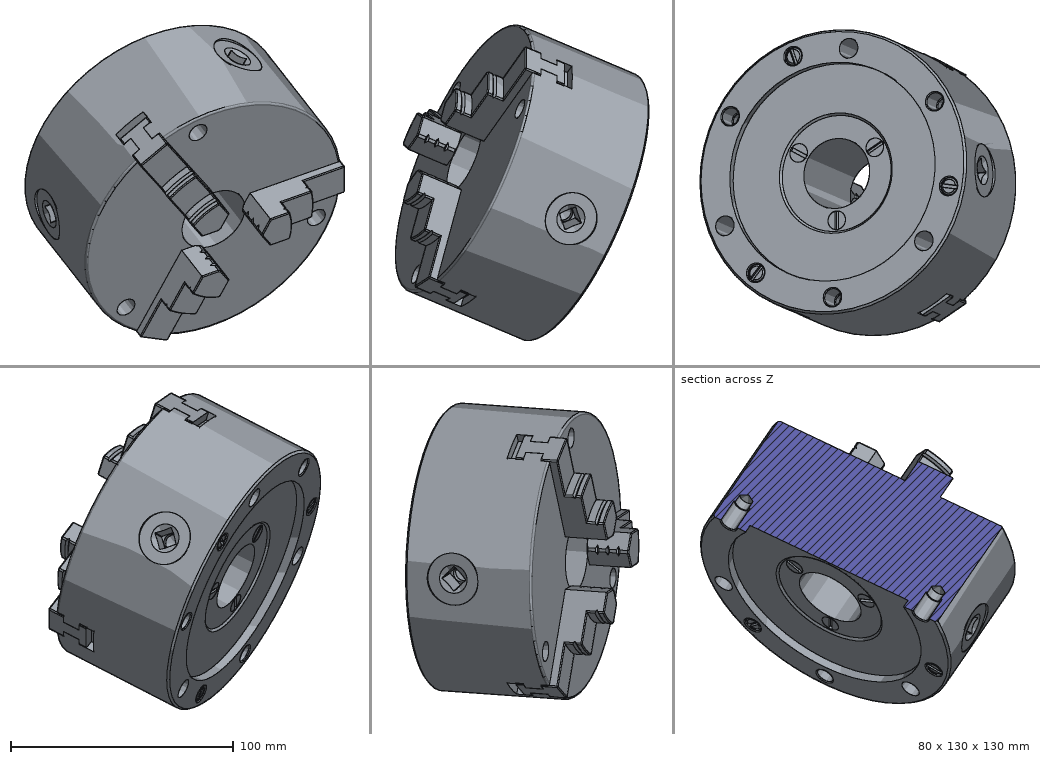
import cadquery as cq
import math


BODY_RADIUS = 65.0
BODY_LENGTH = 60.0
BODY_BACK_CHAMFER = 1.0
BODY_FRONT_FILLET = 1.0
BORE_RADIUS = 16.0
SPIGOT_RADIUS = 50.0
SPIGOT_DEPTH = 4.0
COVER_RADIUS = 26.5
COVER_CHAMFER = 1.0
COVER_DEPTH = 1.0

STATIONS = 3
STATION_ANGLES = [index * 360.0 / STATIONS for index in range(STATIONS)]
OPPOSITE = 180.0

THROUGH_HOLE_RADIUS = 4.5
THROUGH_HOLE_CIRCLE = 56.5
THROUGH_HOLE_ANGLE = 98.0
THREAD_CIRCLE = 57.5
THREAD_RADIUS = 4.0
THREAD_CHAMFER = 0.5
TAPPED_HOLE_ANGLE = 30.0
THREAD_DEPTH = 12.0
TAP_DRILL_RADIUS = 3.35
TAP_DRILL_DEPTH = 16.0
DRILL_POINT_ANGLE = 118.0
SET_SCREW_ANGLE = 70.5
SET_SCREW_CHAMFER = 0.9
SET_SCREW_SINK = THREAD_CHAMFER
COVER_SCREW_RADIUS = 4.25
COVER_SCREW_CIRCLE = 21.4
COVER_SCREW_ANGLE = 30.0
COVER_SCREW_SINK = 0.1
SCREW_SLOT_WIDTH = 1.6
SCREW_SLOT_DEPTH = 1.5

PINION_X = 22.6
PINION_RADIUS = 12.0
PINION_FACE = math.sqrt(BODY_RADIUS**2 - PINION_RADIUS**2)
SOCKET_RADIUS = 6.5
SOCKET_CONE_ANGLE = 120.0
SOCKET_CORNER_RADIUS = 5.5
SOCKET_WIDTH = 8.0
SOCKET_TURN = 45.0
SOCKET_DEPTH = 12.0
SOCKET_DRILL_RADIUS = 3.8
SOCKET_DRILL_DEPTH = 15.0

JAW_WIDTH = 16.0
JAW_END = 64.8
STEP_HEIGHTS = [64.0, 72.0, 80.0]
STEP_RADII = [44.6, 29.5]
JAW_CHAMFER = 0.5
JAW_CORNER_CHAMFER = 0.6
JAW_TIP = 14.4
TIP_WIDTH = 1.5
TIP_ANGLE = 120.0
TIP_GROOVE_PITCH = 5.0
TIP_GROOVE_COUNT = 4
TIP_GROOVE_DEPTH = 0.8
STEP_GROOVE_SETBACK = 3.5
STEP_GROOVE_DEPTH = 1.2
STEP_GROOVE_HALF_WIDTH = 0.9

SLOT_BOTTOM = 40.0
FOOT_BOTTOM = 44.0
FOOT_TOP = 47.7
HEAD_BOTTOM = 56.0
NECK_WIDTH = 7.4
POCKET_FLOOR = 60.3

CLEARANCE = 5.0
LEVEL_TOLERANCE = 0.01


def turned(profile):
    """Revolve a profile of (x, radius) points about the chuck axis."""
    return cq.Workplane("XY").polyline(profile).close().revolve(360, (0, 0, 0), (1, 0, 0))


def around_axis(shape, angle):
    return shape.rotate((0, 0, 0), (1, 0, 0), angle)


def cut_at_stations(body, tool, start_angle):
    """Cut a tool drawn on the +Y side out of the body once per station."""
    for angle in STATION_ANGLES:
        body = body.cut(around_axis(tool, start_angle + angle))
    return body


def drill_point(radius):
    return radius / math.tan(math.radians(DRILL_POINT_ANGLE / 2))


def turned_about_y(profile):
    """Revolve a profile of (radius, y) points about the Y axis."""
    return cq.Workplane("XY").polyline(profile).close().revolve(360, (0, 0, 0), (0, 1, 0))


def axial_tool(profile, circle):
    """Revolve (radius, x) points about a line parallel to X at the given radius on +Y."""
    return turned_about_y(profile).rotate((0, 0, 0), (0, 0, 1), -90).translate((0, circle, 0))


def make_body():
    rim = BODY_RADIUS - BODY_BACK_CHAMFER
    body = turned([
        (0, SPIGOT_RADIUS),
        (0, rim),
        (BODY_BACK_CHAMFER, BODY_RADIUS),
        (BODY_LENGTH, BODY_RADIUS),
        (BODY_LENGTH, BORE_RADIUS),
        (SPIGOT_DEPTH + COVER_DEPTH, BORE_RADIUS),
        (SPIGOT_DEPTH + COVER_DEPTH, COVER_RADIUS),
        (SPIGOT_DEPTH, COVER_RADIUS + COVER_CHAMFER),
        (SPIGOT_DEPTH, SPIGOT_RADIUS),
    ])
    front_rim = body.faces(">X").edges(cq.selectors.RadiusNthSelector(-1))
    return front_rim.fillet(BODY_FRONT_FILLET)


def screw_slot(face_x, circle, length):
    """Radial driver slot sunk from a screw face at face_x."""
    slot = cq.Workplane("XY").box(SCREW_SLOT_DEPTH, length, SCREW_SLOT_WIDTH)
    return slot.translate((face_x + SCREW_SLOT_DEPTH / 2, circle, 0))


def cut_through_holes(body):
    hole = cq.Workplane("YZ").center(THROUGH_HOLE_CIRCLE, 0).circle(THROUGH_HOLE_RADIUS)
    return cut_at_stations(body, hole.extrude(BODY_LENGTH), THROUGH_HOLE_ANGLE)


def cut_tapped_holes(body):
    tool = axial_tool([
        (0, 0),
        (THREAD_RADIUS + THREAD_CHAMFER, 0),
        (THREAD_RADIUS, THREAD_CHAMFER),
        (THREAD_RADIUS, THREAD_DEPTH),
        (TAP_DRILL_RADIUS, THREAD_DEPTH),
        (TAP_DRILL_RADIUS, TAP_DRILL_DEPTH),
        (0, TAP_DRILL_DEPTH + drill_point(TAP_DRILL_RADIUS)),
    ], THREAD_CIRCLE)
    return cut_at_stations(body, tool, TAPPED_HOLE_ANGLE)


def cut_set_screws(body):
    """Slotted set screws that fill their threaded holes up to just below the back face."""
    screw_recess = axial_tool([
        (0, 0),
        (THREAD_RADIUS + THREAD_CHAMFER, 0),
        (THREAD_RADIUS, THREAD_CHAMFER),
        (THREAD_RADIUS, SET_SCREW_SINK + SET_SCREW_CHAMFER),
        (THREAD_RADIUS - SET_SCREW_CHAMFER, SET_SCREW_SINK),
        (0, SET_SCREW_SINK),
    ], THREAD_CIRCLE)
    tool = screw_recess.union(screw_slot(SET_SCREW_SINK, THREAD_CIRCLE, 2 * THREAD_RADIUS))
    return cut_at_stations(body, tool, SET_SCREW_ANGLE)


def cut_cover_screws(body):
    cover_face = SPIGOT_DEPTH + COVER_DEPTH
    head = cq.Workplane("YZ", origin=(cover_face, COVER_SCREW_CIRCLE, 0)).circle(COVER_SCREW_RADIUS)
    slot = screw_slot(cover_face, COVER_SCREW_CIRCLE, 2 * COVER_SCREW_RADIUS)
    tool = head.extrude(COVER_SCREW_SINK).union(slot)
    return cut_at_stations(body, tool, COVER_SCREW_ANGLE)


def cut_pinions(body):
    """Flat pinion ends with a countersunk square key socket."""
    socket_floor = PINION_FACE - SOCKET_DEPTH
    flat_reach = SOCKET_WIDTH / 2
    cone_depth = (SOCKET_RADIUS - flat_reach) / math.tan(math.radians(SOCKET_CONE_ANGLE / 2))
    entry = turned_about_y([
        (0, PINION_FACE - cone_depth),
        (flat_reach, PINION_FACE - cone_depth),
        (SOCKET_RADIUS, PINION_FACE),
        (PINION_RADIUS, PINION_FACE),
        (PINION_RADIUS, BODY_RADIUS + CLEARANCE),
        (0, BODY_RADIUS + CLEARANCE),
    ])
    corner_bore = turned_about_y([
        (0, socket_floor),
        (SOCKET_CORNER_RADIUS, socket_floor),
        (SOCKET_CORNER_RADIUS, PINION_FACE),
        (0, PINION_FACE),
    ])
    drill_floor = PINION_FACE - SOCKET_DRILL_DEPTH
    drilled_hole = turned_about_y([
        (0, drill_floor - drill_point(SOCKET_DRILL_RADIUS)),
        (SOCKET_DRILL_RADIUS, drill_floor),
        (SOCKET_DRILL_RADIUS, socket_floor),
        (0, socket_floor),
    ])
    square = cq.Workplane("XY").box(SOCKET_WIDTH, SOCKET_DEPTH, SOCKET_WIDTH)
    square = square.rotate((0, 0, 0), (0, 1, 0), SOCKET_TURN)
    square = square.translate((0, socket_floor + SOCKET_DEPTH / 2, 0))
    tool = entry.union(square.intersect(corner_bore)).union(drilled_hole)
    tool = tool.translate((PINION_X, 0, 0))
    return cut_at_stations(body, tool, OPPOSITE)


def guideway_bar(start_x, end_x, width, inner, outer):
    """Block between two X values and two radii, centred on the jaw."""
    bar = cq.Workplane("XY").box(end_x - start_x, outer - inner, width)
    return bar.translate(((start_x + end_x) / 2, (inner + outer) / 2, 0))


def chamfer_outer_corners(block):
    """Break the two corners between the sides and the outer end of a block."""
    return block.edges("|X").edges(">Y").chamfer(JAW_CORNER_CHAMFER)


def t_outline(bottom, outer):
    """Foot, neck and head of the guide at the rim."""
    foot = guideway_bar(bottom, FOOT_TOP, JAW_WIDTH, POCKET_FLOOR, outer)
    neck = guideway_bar(FOOT_TOP, HEAD_BOTTOM, NECK_WIDTH, POCKET_FLOOR, outer)
    head = guideway_bar(HEAD_BOTTOM, BODY_LENGTH, JAW_WIDTH, POCKET_FLOOR, outer)
    return chamfer_outer_corners(foot).union(neck).union(chamfer_outer_corners(head))


def jaw_block(top, outer, rounded):
    """Wedge-tipped block on the front face; a rounded end is an arc about the chuck axis."""
    half = JAW_WIDTH / 2
    half_tip = TIP_WIDTH / 2
    shoulder = JAW_TIP + (half - half_tip) / math.tan(math.radians(TIP_ANGLE / 2))
    side_end = math.sqrt(outer**2 - half**2) if rounded else outer
    outline = cq.Workplane("YZ", origin=(BODY_LENGTH, 0, 0))
    outline = outline.moveTo(JAW_TIP, half_tip).lineTo(shoulder, half).lineTo(side_end, half)
    if rounded:
        outline = outline.threePointArc((outer, 0), (side_end, -half))
    else:
        outline = outline.lineTo(side_end, -half)
    outline = outline.lineTo(shoulder, -half).lineTo(JAW_TIP, -half_tip).close()
    return chamfer_outer_corners(outline.extrude(top - BODY_LENGTH))


def is_foot_edge(edge, radius):
    """True where the rounded end of a step of this radius stands on the step below."""
    if radius is None:
        return False
    reach = math.hypot(edge.Center().y, edge.Center().z)
    is_end_arc = edge.geomType() == "CIRCLE" and abs(edge.radius() - radius) < LEVEL_TOLERANCE
    is_corner = edge.Length() < 2 * JAW_CORNER_CHAMFER and abs(reach - radius) < 2 * JAW_CORNER_CHAMFER
    return is_end_arc or is_corner


def chamfer_step_tops(jaw):
    """Break the outer edges of every step top, leaving the foot of the next step sharp."""
    next_radii = STEP_RADII + [None]
    for height, next_radius in zip(STEP_HEIGHTS, next_radii):
        level = cq.selectors.BoxSelector(
            (height - LEVEL_TOLERANCE, -BODY_RADIUS, -BODY_RADIUS),
            (height + LEVEL_TOLERANCE, BODY_RADIUS, BODY_RADIUS),
        )
        outer_edges = [
            edge for edge in jaw.edges(level).vals()
            if not is_foot_edge(edge, next_radius)
        ]
        jaw = jaw.newObject(outer_edges).chamfer(JAW_CHAMFER)
    return jaw


def v_ring(x, radius):
    """Ring that cuts a V groove into a step face."""
    return turned([
        (x - STEP_GROOVE_HALF_WIDTH, radius),
        (x, radius - STEP_GROOVE_DEPTH),
        (x + STEP_GROOVE_HALF_WIDTH, radius),
    ])


def make_jaw():
    jaw = jaw_block(STEP_HEIGHTS[0], JAW_END, False)
    for height, radius in zip(STEP_HEIGHTS[1:], STEP_RADII):
        jaw = jaw.union(jaw_block(height, radius, True))
    jaw = chamfer_step_tops(jaw.clean())
    for height, radius in zip(STEP_HEIGHTS[1:], STEP_RADII):
        jaw = jaw.cut(v_ring(height - STEP_GROOVE_SETBACK, radius))
    for index in range(TIP_GROOVE_COUNT):
        x = BODY_LENGTH + index * TIP_GROOVE_PITCH
        groove = cq.Workplane("XY").polyline([
            (x - TIP_GROOVE_DEPTH, JAW_TIP),
            (x, JAW_TIP + TIP_GROOVE_DEPTH),
            (x + TIP_GROOVE_DEPTH, JAW_TIP),
        ]).close().extrude(JAW_WIDTH / 2, both=True)
        jaw = jaw.cut(groove)
    return jaw.union(t_outline(FOOT_BOTTOM, JAW_END))


def build_chuck():
    chuck = make_body()
    chuck = cut_through_holes(chuck)
    chuck = cut_tapped_holes(chuck)
    chuck = cut_set_screws(chuck)
    chuck = cut_cover_screws(chuck)
    chuck = cut_pinions(chuck)
    chuck = cut_at_stations(chuck, t_outline(SLOT_BOTTOM, BODY_RADIUS + CLEARANCE), 0)
    jaw = make_jaw()
    for angle in STATION_ANGLES:
        chuck = chuck.union(around_axis(jaw, angle))
    return chuck


result = build_chuck()